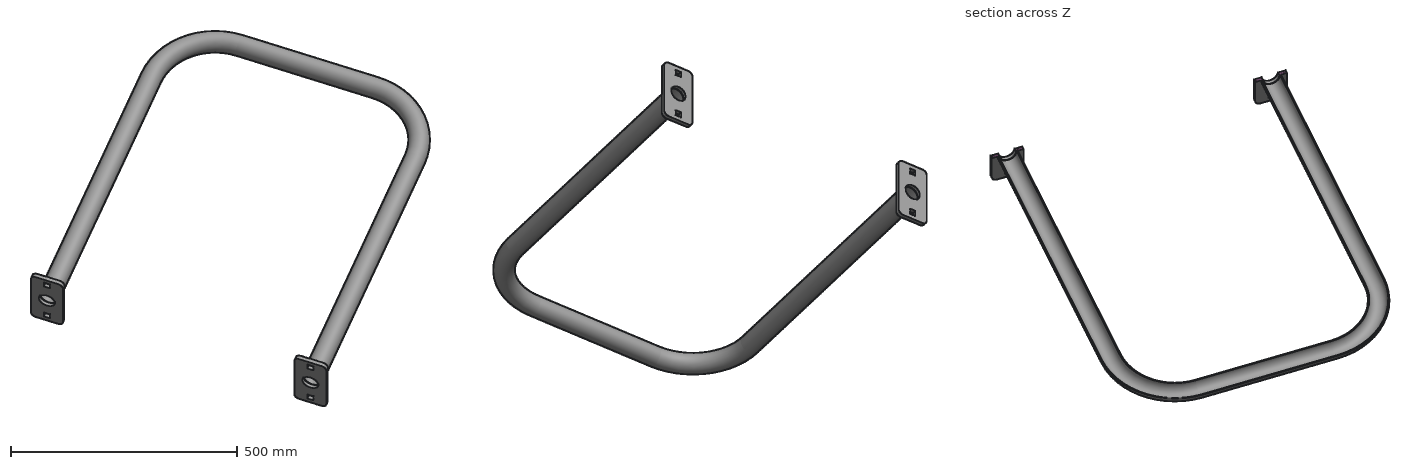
import cadquery as cq

overall_width = 699.0
overall_depth = 822.0

plate_width = 76.0
plate_height = 152.0
plate_thickness = 10.0
plate_corner_radius = 12.0
plate_bore_diameter = 38.0
square_hole_side = 14.0
square_hole_spacing = 114.0

tube_outer_diameter = 48.5
tube_inner_diameter = 41.0
bend_radius = 151.0

leg_x = (overall_width - plate_width) / 2
crossbar_y = overall_depth - tube_outer_diameter / 2
bend_start_y = crossbar_y - bend_radius
bend_end_x = leg_x - bend_radius


def make_tube():
    """U-shaped hollow tube whose legs end on the inner faces of the plates."""
    centerline = (
        cq.Workplane("XY")
        .moveTo(-leg_x, plate_thickness)
        .lineTo(-leg_x, bend_start_y)
        .tangentArcPoint((-bend_end_x, crossbar_y), relative=False)
        .lineTo(bend_end_x, crossbar_y)
        .tangentArcPoint((leg_x, bend_start_y), relative=False)
        .lineTo(leg_x, plate_thickness)
    )
    return (
        cq.Workplane("XZ", origin=(-leg_x, plate_thickness, 0))
        .circle(tube_outer_diameter / 2)
        .circle(tube_inner_diameter / 2)
        .sweep(centerline)
    )


def make_plate(center_x):
    """Rounded mounting plate with a central bore and two square bolt holes."""
    blank = (
        cq.Workplane("XZ", origin=(center_x, 0, 0))
        .rect(plate_width, plate_height)
        .extrude(-plate_thickness)
        .edges("|Y")
        .fillet(plate_corner_radius)
    )
    bore = (
        cq.Workplane("XZ", origin=(center_x, 0, 0))
        .circle(plate_bore_diameter / 2)
        .extrude(-plate_thickness)
    )
    square_holes = (
        cq.Workplane("XZ", origin=(center_x, 0, 0))
        .rarray(8, square_hole_spacing, 1, 2)
        .rect(square_hole_side, square_hole_side)
        .extrude(-plate_thickness)
    )
    return blank.cut(bore).cut(square_holes)


tube = make_tube()
plates = [make_plate(side * leg_x) for side in (-1, 1)]

result = cq.Compound.makeCompound([tube.val(), *[plate.val() for plate in plates]])